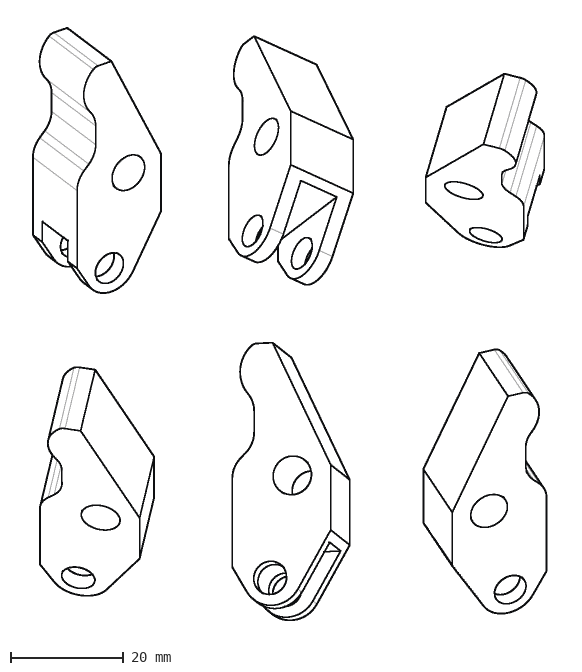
import cadquery as cq
import math

width = 14.0
depth = 18.0
height = 47.5

end_radius = 5.4
end_y = 7.3
flank_angle = math.radians(30)

back_slope_z = 24.9
top_back_y = 7.35

nose_radius = 6.25
nose_front_y = 1.42
nose_z = 42.45
nose_top_fillet = 1.5

recess_y = 4.0
shoulder_top_z = 29.35
recess_upper_fillet = 5.0
shoulder_fillet = 5.0

pivot_y = 10.95
pivot_z = 23.3
pivot_diameter = 7.0
pin_y = 6.95
pin_z = 5.0
pin_diameter = 6.0
fork_wall = 3.0
slot_top_z = 11.5

touch_offset = end_radius * math.cos(flank_angle)
touch_z = end_radius * (1 - math.sin(flank_angle))
front_touch_y = end_y - touch_offset
back_touch_y = end_y + touch_offset
front_corner_z = touch_z + front_touch_y / math.tan(flank_angle)
back_corner_z = touch_z + (depth - back_touch_y) / math.tan(flank_angle)

nose_y = nose_front_y + nose_radius
nose_top_y = nose_y - math.sqrt(nose_radius**2 - (height - nose_z)**2)
nose_bottom_z = nose_z - math.sqrt(nose_radius**2 - (nose_y - recess_y)**2)
shoulder_bottom_z = shoulder_top_z - recess_y


def make_body():
    """Extrude the side outline across the width and round its front corners."""
    body = (
        cq.Workplane("YZ")
        .moveTo(front_touch_y, touch_z)
        .threePointArc((end_y, 0), (back_touch_y, touch_z))
        .lineTo(depth, back_corner_z)
        .lineTo(depth, back_slope_z)
        .lineTo(top_back_y, height)
        .lineTo(nose_top_y, height)
        .threePointArc((nose_front_y, nose_z), (recess_y, nose_bottom_z))
        .lineTo(recess_y, shoulder_top_z)
        .lineTo(0, shoulder_bottom_z)
        .lineTo(0, front_corner_z)
        .close()
        .extrude(width)
    )
    rounded_corners = [
        (nose_top_y, height, nose_top_fillet),
        (recess_y, nose_bottom_z, recess_upper_fillet),
        (recess_y, shoulder_top_z, shoulder_fillet),
        (0, shoulder_bottom_z, shoulder_fillet),
    ]
    for y, z, radius in rounded_corners:
        corner = cq.selectors.NearestToPointSelector((width / 2, y, z))
        body = body.edges("|X").edges(corner).fillet(radius)
    return body


def make_cross_hole(y, z, diameter):
    """Cylinder along X through the full width."""
    return cq.Workplane("YZ").center(y, z).circle(diameter / 2).extrude(width)


def make_fork_slot():
    """Open slot that splits the lower end into two fork arms."""
    slot_width = width - 2 * fork_wall
    return cq.Workplane("XY").box(slot_width, depth, slot_top_z, centered=False).translate((fork_wall, 0, 0))


result = (
    make_body()
    .cut(make_cross_hole(pivot_y, pivot_z, pivot_diameter))
    .cut(make_cross_hole(pin_y, pin_z, pin_diameter))
    .cut(make_fork_slot())
)